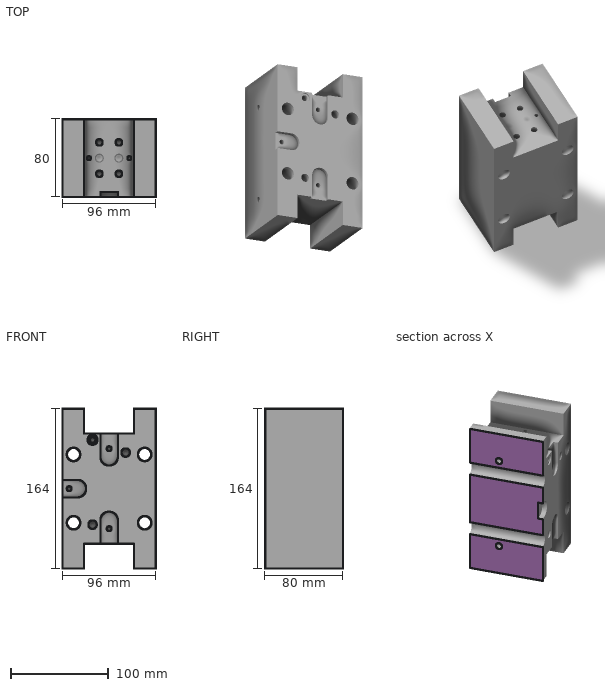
import cadquery as cq
import math

WIDTH = 96.0
DEPTH = 80.0
HEIGHT = 164.0

CHANNEL_WIDTH = 51.0
CHANNEL_DEPTH = 25.5

KEYWAY_WIDTH = 18.0
KEYWAY_DEPTH = 5.1
END_KEYWAY_LENGTH = 33.0
SIDE_KEYWAY_LENGTH = 24.5
KEYWAY_HOLE_DIAMETER = 5.0
KEYWAY_HOLE_DEPTH = 14.8
KEYWAY_HOLE_OFFSET = 41.0

MOUNT_DIAMETER = 13.5
MOUNT_SPACING_X = 73.0
MOUNT_SPACING_Z = 70.0

DOWEL_DIAMETER = 8.7
DOWEL_DEPTH = 14.8
DOWEL_SPACING_X = 34.0
DOWEL_SPACING_Z = 74.0
PORT_Z = 50.0
PORT_DIAMETER = 5.9
PORT_DEPTH = 14.8
PORT_STEP_DIAMETER = 6.2
PORT_STEP_DEPTH = 8.2
PORT_RECESS_DIAMETER = 10.2
PORT_RECESS_DEPTH = 1.3

SIDE_HOLE_DIAMETER = 6.2
SIDE_HOLE_DEPTH = 14.8
SIDE_HOLE_Y = 8.0
SIDE_HOLE_Z = 50.0

FLOOR_COLUMN_X = 10.0
FLOOR_HOLE_DIAMETER = 6.7
FLOOR_HOLE_DEPTH = 14.8
FLOOR_HOLE_Y = 16.0
DIMPLE_DIAMETER = 8.0
DIMPLE_DEPTH = 1.0
PIN_DIAMETER = 4.0
PIN_DEPTH = 9.8
PIN_X = 20.7

DRILL_POINT_ANGLE = 118.0

FRONT_Y = -DEPTH / 2
LEFT_X = -WIDTH / 2
FLOOR_Z = HEIGHT / 2 - CHANNEL_DEPTH
KEYWAY_FLOOR_Y = FRONT_Y + KEYWAY_DEPTH

INTO_FRONT = cq.Vector(0, 1, 0)
INTO_LEFT = cq.Vector(1, 0, 0)
INTO_FLOOR = cq.Vector(0, 0, -1)


def bore(point, direction, diameter, depth):
    """Flat-bottomed cylinder starting at point."""
    return cq.Solid.makeCylinder(diameter / 2, depth, cq.Vector(*point), direction)


def cone(point, direction, diameter, depth):
    """Cone narrowing to a tip at the given depth below point."""
    return cq.Solid.makeCone(diameter / 2, 0, depth, cq.Vector(*point), direction)


def drilled_hole(point, direction, diameter, depth):
    """Blind hole whose straight depth ends in a drill point."""
    tip_depth = diameter / 2 / math.tan(math.radians(DRILL_POINT_ANGLE / 2))
    bottom = cq.Vector(*point) + direction * depth
    tip = cone(bottom.toTuple(), direction, diameter, tip_depth)
    return bore(point, direction, diameter, depth).fuse(tip)


def keyway(edge_distance, length, angle):
    """Keyway running inward from an edge, turned by angle about the Y axis from the left side."""
    half_width = KEYWAY_WIDTH / 2
    edge = -edge_distance
    end = edge + length
    outline = (
        cq.Workplane("XZ", origin=(0, FRONT_Y, 0))
        .moveTo(edge, -half_width)
        .lineTo(end - half_width, -half_width)
        .threePointArc((end, 0), (end - half_width, half_width))
        .lineTo(edge, half_width)
        .close()
    )
    return outline.extrude(-KEYWAY_DEPTH).rotate((0, 0, 0), (0, 1, 0), angle)


result = cq.Workplane("XY").box(WIDTH, DEPTH, HEIGHT)
for side in (-1, 1):
    channel = cq.Workplane("XY").box(CHANNEL_WIDTH, DEPTH, 2 * CHANNEL_DEPTH)
    result = result.cut(channel.translate((0, 0, side * HEIGHT / 2)))

result = result.cut(keyway(WIDTH / 2, SIDE_KEYWAY_LENGTH, 0))
for angle in (90, -90):
    result = result.cut(keyway(FLOOR_Z, END_KEYWAY_LENGTH, angle))

for x, z in ((-KEYWAY_HOLE_OFFSET, 0), (0, KEYWAY_HOLE_OFFSET), (0, -KEYWAY_HOLE_OFFSET)):
    point = (x, KEYWAY_FLOOR_Y, z)
    result = result.cut(drilled_hole(point, INTO_FRONT, KEYWAY_HOLE_DIAMETER, KEYWAY_HOLE_DEPTH))

for x in (-MOUNT_SPACING_X / 2, MOUNT_SPACING_X / 2):
    for z in (-MOUNT_SPACING_Z / 2, MOUNT_SPACING_Z / 2):
        result = result.cut(bore((x, FRONT_Y, z), INTO_FRONT, MOUNT_DIAMETER, DEPTH))

for side in (-1, 1):
    point = (side * DOWEL_SPACING_X / 2, FRONT_Y, side * DOWEL_SPACING_Z / 2)
    result = result.cut(drilled_hole(point, INTO_FRONT, DOWEL_DIAMETER, DOWEL_DEPTH))

port = (-DOWEL_SPACING_X / 2, FRONT_Y, PORT_Z)
result = result.cut(bore(port, INTO_FRONT, PORT_RECESS_DIAMETER, PORT_RECESS_DEPTH))
result = result.cut(bore(port, INTO_FRONT, PORT_STEP_DIAMETER, PORT_STEP_DEPTH))
result = result.cut(drilled_hole(port, INTO_FRONT, PORT_DIAMETER, PORT_DEPTH))

for z in (-SIDE_HOLE_Z, SIDE_HOLE_Z):
    point = (LEFT_X, SIDE_HOLE_Y, z)
    result = result.cut(drilled_hole(point, INTO_LEFT, SIDE_HOLE_DIAMETER, SIDE_HOLE_DEPTH))

for side in (-1, 1):
    column_x = side * FLOOR_COLUMN_X
    for y in (-FLOOR_HOLE_Y, FLOOR_HOLE_Y):
        point = (column_x, y, FLOOR_Z)
        result = result.cut(drilled_hole(point, INTO_FLOOR, FLOOR_HOLE_DIAMETER, FLOOR_HOLE_DEPTH))
    dimple = cone((column_x, 0, FLOOR_Z), INTO_FLOOR, DIMPLE_DIAMETER, DIMPLE_DEPTH)
    result = result.cut(dimple)
    pin = (side * PIN_X, 0, FLOOR_Z)
    result = result.cut(drilled_hole(pin, INTO_FLOOR, PIN_DIAMETER, PIN_DEPTH))